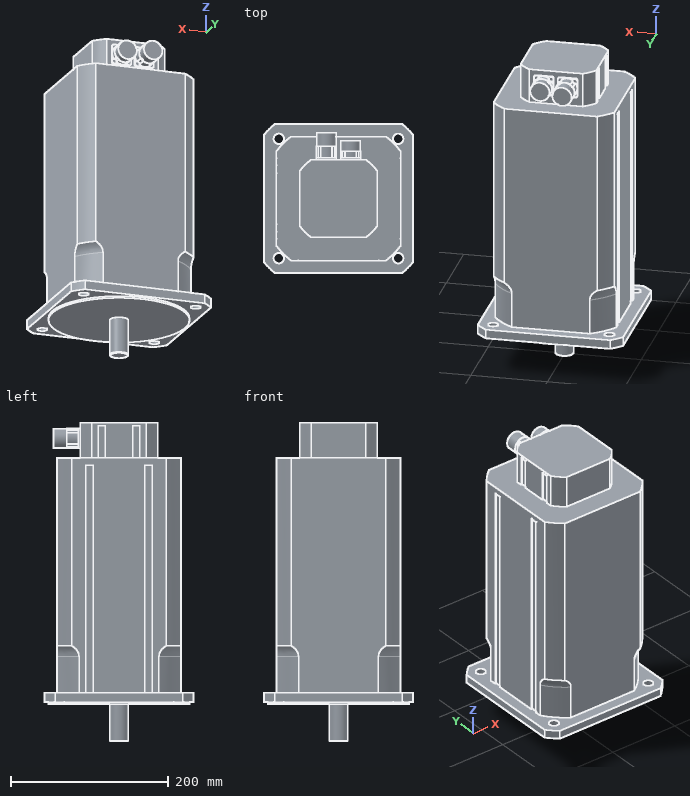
import cadquery as cq
import math

SHAFT_LENGTH = 50.0
FLANGE_THICKNESS = 12.0
BODY_TOP = 311.0
CAP_HEIGHT = 45.0
CAP_TOP = BODY_TOP + CAP_HEIGHT

FLANGE_SIDE = 190.0
FLANGE_CORNER_DIAMETER = 250.0
BODY_SIDE = 158.0
BODY_CORNER_DIAMETER = 199.0
CAP_SIDE = 99.0
CAP_CORNER_DIAMETER = 121.0

NECK_DIAMETER = 188.0
NECK_TOP = 58.5
RELIEF_TOP = 72.0

PILOT_DIAMETER = 180.0
PILOT_THICKNESS = 2.5
BOLT_CIRCLE = 215.0
BOLT_HOLE_DIAMETER = 13.0
SHAFT_DIAMETER = 24.0
SHAFT_CHAMFER = 1.0

GROOVE_DEPTH = 2.0
BODY_GROOVE_WIDTH = 10.0
BODY_GROOVE_SPACING = 75.0
BODY_GROOVE_END_GAP = 9.5
CAP_GROOVE_WIDTH = 9.0
CAP_GROOVE_SPACING = 44.0
CAP_GROOVE_END_GAP = 4.0

CONNECTOR_SPACING = 31.0
CONNECTOR_DEPTH = 20.0
CONNECTOR_Z = CAP_TOP - CONNECTOR_DEPTH
CONNECTOR_DIAMETER = 25.0
COLLAR_DIAMETER = 25.6
BASE_SIDE = COLLAR_DIAMETER
BASE_CORNER_RADIUS = 2.7
BASE_THICKNESS = 2.5
SCREW_SPACING = 19.0
SCREW_RELIEF_DIAMETER = 5.0
LARGE_COLLAR_END = 17.0
LARGE_LENGTH = 34.0
SMALL_COLLAR_END = 11.0
SMALL_LENGTH = 24.0


def turned_square(side, corner_diameter, bottom, top):
    """Square prism whose four corners are rounded about the motor axis."""
    height = top - bottom
    prism = cq.Workplane("XY").workplane(offset=bottom).rect(side, side).extrude(height)
    disc = cq.Workplane("XY").workplane(offset=bottom).circle(corner_diameter / 2).extrude(height)
    return prism.intersect(disc)


def corner_relief():
    """Ring that turns the lower body corners down, ending in a concave flare tangent to the neck."""
    neck_radius = NECK_DIAMETER / 2
    body_radius = BODY_CORNER_DIAMETER / 2
    outside_radius = FLANGE_CORNER_DIAMETER / 2
    depth = body_radius - neck_radius
    rise = RELIEF_TOP - NECK_TOP
    flare_radius = (rise**2 + depth**2) / (2 * depth)
    half_angle = math.asin(rise / flare_radius) / 2
    flare_middle = (
        neck_radius + flare_radius * (1 - math.cos(half_angle)),
        NECK_TOP + flare_radius * math.sin(half_angle),
    )
    return (
        cq.Workplane("XZ")
        .moveTo(neck_radius, FLANGE_THICKNESS)
        .lineTo(neck_radius, NECK_TOP)
        .threePointArc(flare_middle, (body_radius, RELIEF_TOP))
        .lineTo(outside_radius, RELIEF_TOP)
        .lineTo(outside_radius, FLANGE_THICKNESS)
        .close()
        .revolve(360, (0, 0, 0), (0, 1, 0))
    )


def side_grooves(side, width, spacing, bottom, top):
    """Pair of vertical grooves cut into the -X face of a square section."""
    return (
        cq.Workplane("XY")
        .workplane(offset=bottom)
        .pushPoints([(-side / 2, -spacing / 2), (-side / 2, spacing / 2)])
        .rect(2 * GROOVE_DEPTH, width)
        .extrude(top - bottom)
    )


def make_flange():
    """Mounting flange with its bolt holes and the centring pilot below it."""
    bolt_spacing = BOLT_CIRCLE / math.sqrt(2)
    plate = turned_square(FLANGE_SIDE, FLANGE_CORNER_DIAMETER, 0, FLANGE_THICKNESS)
    bolt_holes = (
        cq.Workplane("XY")
        .rect(bolt_spacing, bolt_spacing, forConstruction=True)
        .vertices()
        .circle(BOLT_HOLE_DIAMETER / 2)
        .extrude(FLANGE_THICKNESS)
    )
    pilot = cq.Workplane("XY").circle(PILOT_DIAMETER / 2).extrude(-PILOT_THICKNESS)
    return plate.cut(bolt_holes).union(pilot)


def make_motor():
    """Flange, body, end cap and shaft as one solid."""
    body = turned_square(BODY_SIDE, BODY_CORNER_DIAMETER, FLANGE_THICKNESS, BODY_TOP)
    body = body.cut(corner_relief())
    body_groove_top = BODY_TOP - BODY_GROOVE_END_GAP
    body = body.cut(
        side_grooves(BODY_SIDE, BODY_GROOVE_WIDTH, BODY_GROOVE_SPACING, FLANGE_THICKNESS, body_groove_top)
    )
    cap = turned_square(CAP_SIDE, CAP_CORNER_DIAMETER, BODY_TOP, CAP_TOP)
    cap_groove_top = CAP_TOP - CAP_GROOVE_END_GAP
    cap = cap.cut(side_grooves(CAP_SIDE, CAP_GROOVE_WIDTH, CAP_GROOVE_SPACING, BODY_TOP, cap_groove_top))
    shaft = (
        cq.Workplane("XY")
        .circle(SHAFT_DIAMETER / 2)
        .extrude(-SHAFT_LENGTH)
        .faces("<Z")
        .chamfer(SHAFT_CHAMFER)
    )
    return make_flange().union(body).union(cap).union(shaft)


def make_connector(x, collar_end, length):
    """Connector standing on the cap: square base, collar with screw reliefs, round barrel."""
    seat = cq.Workplane("XZ", origin=(x, CAP_SIDE / 2, CONNECTOR_Z))
    base = seat.rect(BASE_SIDE, BASE_SIDE).extrude(-BASE_THICKNESS).edges("|Y").fillet(BASE_CORNER_RADIUS)
    collar = seat.circle(COLLAR_DIAMETER / 2).extrude(-collar_end)
    barrel = seat.circle(CONNECTOR_DIAMETER / 2).extrude(-length)
    screw_reliefs = (
        seat.workplane(offset=-BASE_THICKNESS)
        .rect(SCREW_SPACING, SCREW_SPACING, forConstruction=True)
        .vertices()
        .circle(SCREW_RELIEF_DIAMETER / 2)
        .extrude(BASE_THICKNESS - collar_end)
    )
    return collar.cut(screw_reliefs).union(barrel.cut(screw_reliefs)).union(base)


motor = make_motor()
connector_sizes = [
    (-CONNECTOR_SPACING / 2, LARGE_COLLAR_END, LARGE_LENGTH),
    (CONNECTOR_SPACING / 2, SMALL_COLLAR_END, SMALL_LENGTH),
]
connectors = [make_connector(*size) for size in connector_sizes]

result = cq.Compound.makeCompound([motor.val(), *[connector.val() for connector in connectors]])